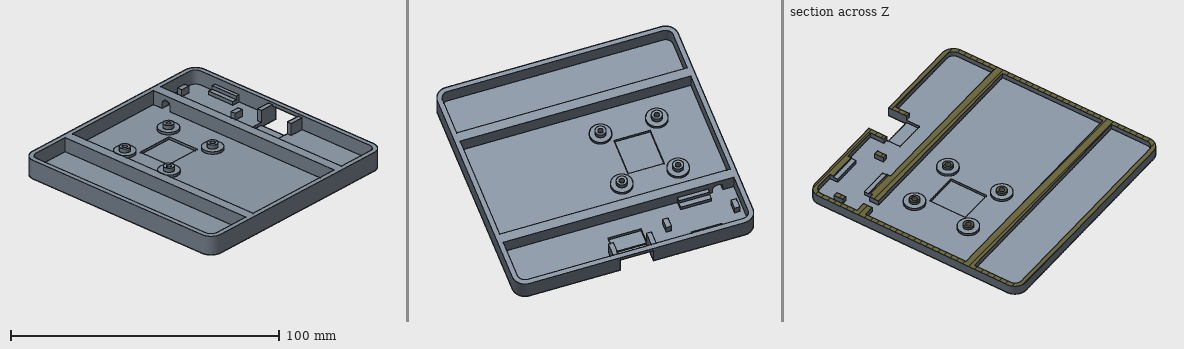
import cadquery as cq

side = 95.0
height = 8.0
wall = 2.0
floor = 2.0
outer_radius = 5.0
inner_radius = 3.0
inner_side = side - 2 * wall
inner_edge = inner_side / 2

rib_width = 4.0
end_bay_width = 19.0
rib_y = inner_edge - end_bay_width - rib_width / 2
rib_back_face = inner_edge - end_bay_width
end_bay_y = inner_edge - end_bay_width / 2

passage_x = -39.1
passage_width = 4.0
passage_height = 4.0

standoff_x = -17.4
standoff_spacing_x = 22.2
standoff_spacing_y = 24.2
pad_diameter = 8.5
pad_height = 1.0
post_diameter = 4.2
post_height = 2.8
screw_hole_diameter = 2.0
recess_length_x = 14.25
recess_length_y = 16.1
recess_depth = 1.0

holder_x = -29.4
ledge_length = 12.2
ledge_reach = 3.5
ledge_step = 2.0
ledge_height = 1.5
ledge_back_height = 3.0
stop_spacing = 27.0
stop_length_x = 2.1
stop_length_y = 4.0
stop_height = 2.9

opening_width = 13.0
opening_length = 6.1
shelf_length = 6.0
shelf_depth = 1.2
guide_width = 2.0
guide_height = 5.0
opening_height = 6.5


def box(x, y, z, length_x, length_y, length_z):
    """Box centred on x and y, with its underside at z."""
    return cq.Workplane("XY").box(length_x, length_y, length_z, (True, True, False)).translate((x, y, z))


def make_tray():
    tray = box(0, 0, 0, side, side, height).edges("|Z").fillet(outer_radius)
    cavity = box(0, 0, floor, inner_side, inner_side, height).edges("|Z").fillet(inner_radius)
    tray = tray.cut(cavity)
    for y in (-rib_y, rib_y):
        tray = tray.union(box(0, y, 0, side - wall, rib_width, height))
    return tray


def make_passage():
    radius = passage_width / 2
    straight_height = passage_height - radius
    return (
        cq.Workplane("XZ", origin=(passage_x, rib_back_face, floor))
        .moveTo(-radius, 0)
        .lineTo(-radius, straight_height)
        .threePointArc((0, passage_height), (radius, straight_height))
        .lineTo(radius, 0)
        .close()
        .extrude(rib_width)
    )


def make_standoffs():
    return (
        cq.Workplane("XY", origin=(standoff_x, 0, floor))
        .rarray(standoff_spacing_x, standoff_spacing_y, 2, 2)
        .circle(pad_diameter / 2)
        .extrude(pad_height)
        .rarray(standoff_spacing_x, standoff_spacing_y, 2, 2)
        .circle(post_diameter / 2)
        .extrude(post_height)
        .rarray(standoff_spacing_x, standoff_spacing_y, 2, 2)
        .circle(screw_hole_diameter / 2)
        .cutBlind(post_height)
    )


def make_ledge(direction):
    """Stepped ledge against one long side of the back bay; direction is +1 or -1 along Y."""
    bay_side = end_bay_y + direction * end_bay_width / 2
    back_width = ledge_reach - ledge_step
    low = box(holder_x, bay_side - direction * ledge_reach / 2, floor, ledge_length, ledge_reach, ledge_height)
    high = box(holder_x, bay_side - direction * back_width / 2, floor, ledge_length, back_width, ledge_back_height)
    return low.union(high)


result = make_tray().cut(make_passage()).union(make_standoffs())
result = result.cut(box(standoff_x, 0, floor - recess_depth, recess_length_x, recess_length_y, recess_depth))

for sign in (-1, 1):
    stop_x = holder_x + sign * stop_spacing / 2
    guide_x = sign * (opening_width + guide_width) / 2
    guide_y = inner_edge - opening_length / 2
    result = result.union(make_ledge(sign))
    result = result.union(box(stop_x, end_bay_y, floor, stop_length_x, stop_length_y, stop_height))
    result = result.union(box(guide_x, guide_y, floor, guide_width, opening_length, guide_height))

cut_length = opening_length + wall
opening_y = side / 2 - cut_length / 2
shelf_y = inner_edge - opening_length - shelf_length / 2
result = result.cut(box(0, opening_y, 0, opening_width, cut_length, opening_height))
result = result.cut(box(0, shelf_y, floor - shelf_depth, opening_width, shelf_length, shelf_depth))